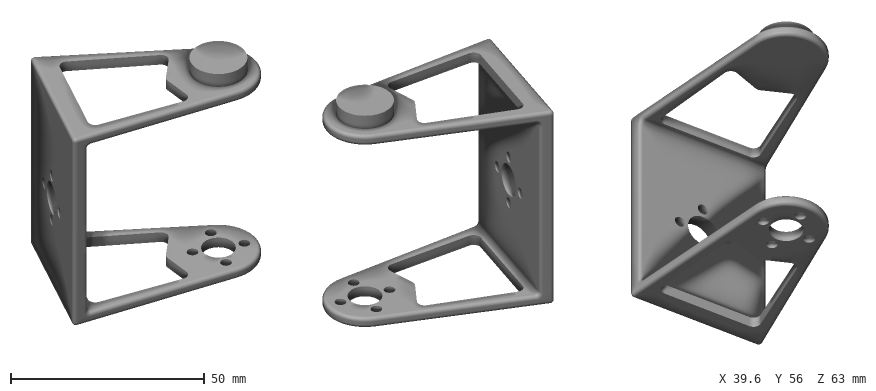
import cadquery as cq
import math

total_height = 63.0
depth = 56.0
base_width = 40.0
arm_thickness = 3.0
wall_thickness = 4.0
edge_radius = 1.0
inner_corner_radius = 1.0

tip_radius = 11.0
tip_y = depth - tip_radius
boss_diameter = 15.0
boss_height = 4.05
body_height = total_height - boss_height

window_start = 6.0
window_rear_width = 30.5
window_side_angle = 9.4
window_point_y = 30.75
window_v_angle = 21.5
window_radius = 2.0

centre_hole_diameter = 9.0
screw_hole_diameter = 3.0
screw_offset = 7.0
wall_holes_z = 27.5

half_width = base_width / 2
corner_to_tip = math.hypot(half_width, tip_y)
side_angle = math.atan2(half_width, tip_y) - math.asin(tip_radius / corner_to_tip)


def arm_outline():
    """Plan outline: straight back, tapered sides and a round tip."""
    tangent_x = tip_radius * math.cos(side_angle)
    tangent_y = tip_y + tip_radius * math.sin(side_angle)
    return (
        cq.Workplane("XY")
        .moveTo(-half_width, 0)
        .lineTo(half_width, 0)
        .lineTo(tangent_x, tangent_y)
        .threePointArc((0, depth), (-tangent_x, tangent_y))
        .close()
        .extrude(body_height)
    )


def inner_space():
    """Open space between the arms, with rounded corners at the back wall."""
    space_height = body_height - 2 * arm_thickness
    return (
        cq.Workplane("XY")
        .box(base_width, depth, space_height, centered=(True, False, False))
        .translate((0, wall_thickness, arm_thickness))
        .edges("|X and <Y")
        .fillet(inner_corner_radius)
    )


def rounded_bracket():
    """U-shaped body with every rim rounded."""
    body = arm_outline().cut(inner_space())
    arm_rims = body.edges("not (|X or |Z)")
    wall_rims = body.edges("|Z").edges("not >Y")
    back_rims = body.faces("<Y").edges("|X")
    rims = arm_rims.add(wall_rims).add(back_rims)
    return rims.fillet(edge_radius)


def arm_windows():
    """Tapered window with a V-shaped front edge, cut through both arms."""
    rear_x = window_rear_width / 2
    side_slope = math.tan(math.radians(window_side_angle))
    v_slope = math.tan(math.radians(window_v_angle))
    point_level_x = rear_x - (window_point_y - window_start) * side_slope
    front_x = point_level_x / (1 + v_slope * side_slope)
    front_y = window_point_y + front_x * v_slope
    return (
        cq.Workplane("XY")
        .polyline([
            (-rear_x, window_start),
            (rear_x, window_start),
            (front_x, front_y),
            (0, window_point_y),
            (-front_x, front_y),
        ])
        .close()
        .extrude(body_height)
        .edges("|Z")
        .fillet(window_radius)
    )


def hole_pattern(plane, thickness):
    """One centre hole with four screw holes on the axes, through one wall."""
    centre_hole = cq.Workplane(plane).circle(centre_hole_diameter / 2).extrude(thickness)
    screw_holes = (
        cq.Workplane(plane)
        .polarArray(screw_offset, 0, 360, 4)
        .circle(screw_hole_diameter / 2)
        .extrude(thickness)
    )
    return centre_hole.union(screw_holes)


boss = (
    cq.Workplane("XY", origin=(0, tip_y, body_height - arm_thickness))
    .circle(boss_diameter / 2)
    .extrude(arm_thickness + boss_height)
)
lower_arm_holes = hole_pattern("XY", arm_thickness).translate((0, tip_y, 0))
back_wall_holes = hole_pattern("ZX", wall_thickness).translate((0, 0, wall_holes_z))

result = (
    rounded_bracket()
    .cut(arm_windows())
    .cut(lower_arm_holes)
    .cut(back_wall_holes)
    .union(boss)
)